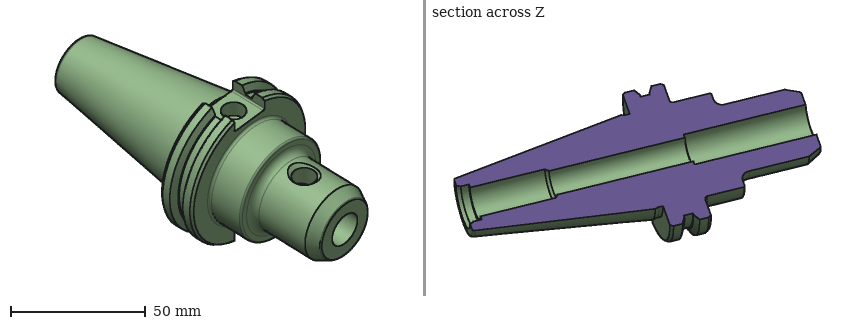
import cadquery as cq
import math

length = 135.0

taper_ratio = 7 / 24
gauge_radius = 44.4 / 2
taper_end = 67.9
tip_round = 1.0
neck_start = 69.4
neck_radius = 43.6 / 2

flange_start = 71.0
flange_width = 16.1
flange_end = flange_start + flange_width
flange_radius = 31.6
flange_chamfer_x = 1.2
flange_chamfer_r = 0.8
flange_middle = flange_start + flange_width / 2
groove_radius = 56.3 / 2
groove_top_width = 6.6
groove_floor_width = 3.4
groove_slope_depth = (groove_top_width - groove_floor_width) / 2 / math.tan(math.radians(30))

collar_radius = gauge_radius
collar_root_fillet = 1.1
collar_end = 102.9
collar_round = 0.8
nose_radius = 31.7 / 2
nose_root_fillet = 3.2
nose_chamfer_start = 129.5
nose_end_radius = 13.2
nose_edge_chamfer = 0.5

through_radius = 11.0 / 2
step_radius = 13.4 / 2
step_depth = 33.8
step_chamfer = step_radius - through_radius
rear_bore_radius = 16.3 / 2
rear_bore_depth = 4.7
rear_chamfer_length = 1.6
rear_mouth_radius = 18.2 / 2
tool_bore_radius = 13.9 / 2
tool_bore_depth = 47.3

slot_width = 16.5
slot_corner_radius = 0.7
upper_slot_floor = 25.3
lower_slot_floor = 22.4

dimple_radius = 9.6 / 2
dimple_depth = 6.8
drill_half_angle = 59

screw_x = 114.7
screw_radius = 9.7 / 2
screw_mouth_radius = 13.2 / 2


def corner_arc(center_x, center_r, radius, degrees):
    """Point on an edge arc or fillet, at an angle from +X."""
    angle = math.radians(degrees)
    return (center_x + radius * math.cos(angle), center_r + radius * math.sin(angle))


def make_body():
    tip_radius = gauge_radius - (taper_end - tip_round) * taper_ratio / 2
    groove_wall_radius = flange_radius - groove_slope_depth
    rim_face_radius = flange_radius - flange_chamfer_r
    root_x = flange_end + collar_root_fillet
    root_r = collar_radius + collar_root_fillet
    nose_root_x = collar_end + nose_root_fillet
    nose_root_r = nose_radius + nose_root_fillet
    profile = (
        cq.Workplane("XY")
        .moveTo(0, 0)
        .lineTo(0, tip_radius - tip_round)
        .threePointArc(
            corner_arc(tip_round, tip_radius - tip_round, tip_round, 135),
            (tip_round, tip_radius),
        )
        .lineTo(taper_end, gauge_radius)
        .lineTo(neck_start, neck_radius)
        .lineTo(flange_start, neck_radius)
        .lineTo(flange_start, rim_face_radius)
        .lineTo(flange_start + flange_chamfer_x, flange_radius)
        .lineTo(flange_middle - groove_top_width / 2, flange_radius)
        .lineTo(flange_middle - groove_floor_width / 2, groove_wall_radius)
        .lineTo(flange_middle - groove_floor_width / 2, groove_radius)
        .lineTo(flange_middle + groove_floor_width / 2, groove_radius)
        .lineTo(flange_middle + groove_floor_width / 2, groove_wall_radius)
        .lineTo(flange_middle + groove_top_width / 2, flange_radius)
        .lineTo(flange_end - flange_chamfer_x, flange_radius)
        .lineTo(flange_end, rim_face_radius)
        .lineTo(flange_end, root_r)
        .threePointArc(corner_arc(root_x, root_r, collar_root_fillet, 225), (root_x, collar_radius))
        .lineTo(collar_end - collar_round, collar_radius)
        .threePointArc(
            corner_arc(collar_end - collar_round, collar_radius - collar_round, collar_round, 45),
            (collar_end, collar_radius - collar_round),
        )
        .lineTo(collar_end, nose_root_r)
        .threePointArc(
            corner_arc(nose_root_x, nose_root_r, nose_root_fillet, 225),
            (nose_root_x, nose_radius),
        )
        .lineTo(nose_chamfer_start, nose_radius)
        .lineTo(length - nose_edge_chamfer, nose_end_radius)
        .lineTo(length, nose_end_radius - nose_edge_chamfer)
        .lineTo(length, 0)
        .close()
    )
    return profile.revolve(360, (0, 0, 0), (1, 0, 0))


def make_bores():
    profile = (
        cq.Workplane("XY")
        .moveTo(0, 0)
        .lineTo(0, rear_mouth_radius)
        .lineTo(rear_chamfer_length, rear_bore_radius)
        .lineTo(rear_bore_depth, rear_bore_radius)
        .lineTo(rear_bore_depth, step_radius)
        .lineTo(step_depth, step_radius)
        .lineTo(step_depth + step_chamfer, through_radius)
        .lineTo(length - tool_bore_depth, through_radius)
        .lineTo(length - tool_bore_depth, tool_bore_radius)
        .lineTo(length, tool_bore_radius)
        .lineTo(length, 0)
        .close()
    )
    return profile.revolve(360, (0, 0, 0), (1, 0, 0))


def make_slot(floor, side):
    """Slot through the flange and its root fillet; side is +1 for the top and -1 for the bottom."""
    height = flange_radius
    slot_length = flange_width + collar_root_fillet
    slot = (
        cq.Workplane("XY")
        .box(slot_length, slot_width, height)
        .translate((flange_start + slot_length / 2, 0, side * (floor + height / 2)))
    )
    floor_face = "<Z" if side > 0 else ">Z"
    return slot.faces(floor_face).edges("|X").fillet(slot_corner_radius)


def make_dimple():
    cone_height = dimple_radius / math.tan(math.radians(drill_half_angle))
    wall_bottom = upper_slot_floor - dimple_depth
    profile = (
        cq.Workplane("XZ")
        .moveTo(0, upper_slot_floor)
        .lineTo(dimple_radius, upper_slot_floor)
        .lineTo(dimple_radius, wall_bottom)
        .lineTo(0, wall_bottom - cone_height)
        .close()
    )
    return profile.revolve(360, (0, 0, 0), (0, 1, 0)).translate((flange_middle, 0, 0))


def make_screw_hole():
    """Radial hole from the axis to the top, with a 45 degree countersink."""
    sink_bottom = nose_radius - (screw_mouth_radius - screw_radius)
    clearance = 1.4
    profile = (
        cq.Workplane("XZ")
        .moveTo(0, 0)
        .lineTo(screw_radius, 0)
        .lineTo(screw_radius, sink_bottom)
        .lineTo(screw_mouth_radius + clearance, nose_radius + clearance)
        .lineTo(0, nose_radius + clearance)
        .close()
    )
    return profile.revolve(360, (0, 0, 0), (0, 1, 0)).translate((screw_x, 0, 0))


result = (
    make_body()
    .cut(make_bores())
    .cut(make_slot(upper_slot_floor, 1))
    .cut(make_slot(lower_slot_floor, -1))
    .cut(make_dimple())
    .cut(make_screw_hole())
)